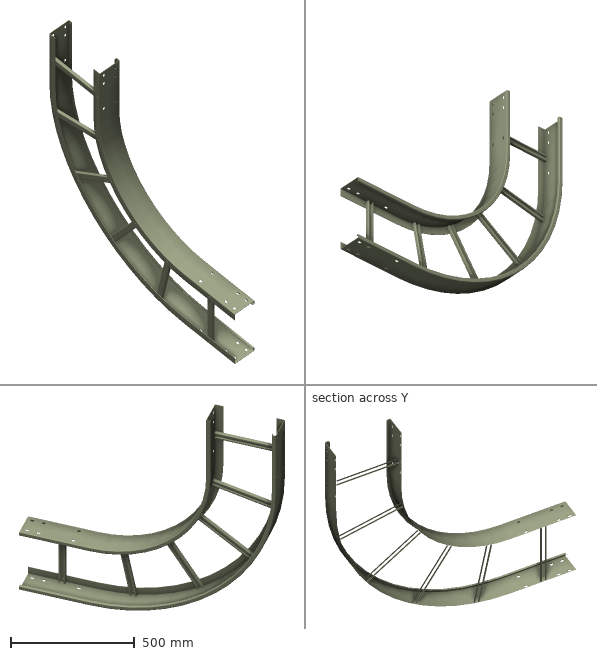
import cadquery as cq
import math

overall_size = 1100.0
rail_depth = 110.0
ladder_width = 300.0
straight_length = 300.0
outer_radius = overall_size - straight_length
inner_radius = outer_radius - ladder_width
bend_center = outer_radius

rail_sheet = 2.0
rail_fold_radius = 3.5
front_flange = 36.0
rear_flange = 19.0
rear_lip = 11.0

slot_length = 14.0
slot_width = 10.0
slot_end_distances = (25.0, 75.0, 225.0)
slot_spacing = 65.0

rung_width = 30.0
rung_depth = 15.0
rung_sheet = 1.5
rung_fold_radius = 3.1
rung_lip = 8.0
rung_end_distance = 150.0
curved_rung_count = 4
end_clearance = 0.2
rung_end_inset = rail_fold_radius + end_clearance

screw_hole_diameter = 5.0
screw_hole_inset = 15.0
outer_hole_radius = outer_radius - screw_hole_inset
inner_hole_radius = inner_radius + screw_hole_inset

curved_rung_step = 90.0 / curved_rung_count
rung_stations = [
    (bend_center, overall_size - rung_end_distance, 0.0),
    *((bend_center, bend_center, (i + 0.5) * curved_rung_step) for i in range(curved_rung_count)),
    (overall_size - rung_end_distance, bend_center, 90.0),
]


def place_at_station(body, station):
    x, z, angle = station
    return body.rotate((0, 0, 0), (0, 1, 0), -angle).translate((x, 0, z))


def folded_outline(plane, corners):
    """Closed outline through right-angled corners (x, y, radius); radius 0 leaves one sharp."""
    outline = plane
    for i, (x, y, radius) in enumerate(corners):
        corner = cq.Vector(x, y)
        before = cq.Vector(*corners[i - 1][:2])
        after = cq.Vector(*corners[(i + 1) % len(corners)][:2])
        to_start = (before - corner).normalized() * radius
        to_end = (after - corner).normalized() * radius
        start = corner + to_start
        middle = corner + (to_start + to_end) * (1 - math.sqrt(0.5))
        end = corner + to_end
        outline = outline.moveTo(start.x, start.y) if i == 0 else outline.lineTo(start.x, start.y)
        if radius > 0:
            outline = outline.threePointArc((middle.x, middle.y), (end.x, end.y))
    return outline.close()


def rail_section(web_radius, flange_direction):
    """Rail section where the upright arm meets the bend; +1 points the flanges along +X."""
    inner_fold = rail_fold_radius - rail_sheet
    lip_end = rail_depth - rear_lip
    lip_inside = rear_flange - rail_sheet
    rear_inside = rail_depth - rail_sheet
    corners = [
        (front_flange, 0, 0),
        (0, 0, rail_fold_radius),
        (0, rail_depth, rail_fold_radius),
        (rear_flange, rail_depth, rail_fold_radius),
        (rear_flange, lip_end, 0),
        (lip_inside, lip_end, 0),
        (lip_inside, rear_inside, inner_fold),
        (rail_sheet, rear_inside, inner_fold),
        (rail_sheet, rail_sheet, inner_fold),
        (front_flange, rail_sheet, 0),
    ]
    plane = cq.Workplane("XY", origin=(bend_center, 0, bend_center))
    return folded_outline(
        plane, [(flange_direction * u - web_radius, y, radius) for u, y, radius in corners]
    )


def web_slots(web_x):
    """Cutters for the slots of the upright arm whose web has its outside at web_x."""
    centers = [
        (rail_depth / 2 + side * slot_spacing / 2, overall_size - distance)
        for distance in slot_end_distances
        for side in (-1, 1)
    ]
    return (
        cq.Workplane("YZ", origin=(web_x, 0, 0))
        .pushPoints(centers)
        .rect(slot_width, slot_length)
        .extrude(2 * rail_sheet, both=True)
    )


def screw_hole(hole_radius):
    """Cutter along Y through the front sheets, at hole_radius from the Y axis towards -X."""
    return (
        cq.Workplane("XZ", origin=(-hole_radius, 0, 0))
        .circle(screw_hole_diameter / 2)
        .extrude(2 * (rail_sheet + rung_sheet), both=True)
    )


def make_rail(web_radius, flange_direction, hole_radius):
    curve = rail_section(web_radius, flange_direction).revolve(90, (0, 0), (0, -1))
    upright = rail_section(web_radius, flange_direction).extrude(straight_length)
    upright = upright.cut(web_slots(bend_center - web_radius))
    level = upright.mirror(cq.Vector(1, 0, -1), (0, 0, 0))
    rail = curve.union(upright).union(level)
    for station in rung_stations:
        rail = rail.cut(place_at_station(screw_hole(hole_radius), station))
    return rail


def make_rung():
    half_width = rung_width / 2
    half_inside = half_width - rung_sheet
    half_opening = half_width - rung_lip
    front = rail_sheet
    rear = front + rung_depth
    front_inside = front + rung_sheet
    rear_inside = rear - rung_sheet
    inner_fold = rung_fold_radius - rung_sheet
    corners = [
        (rear, -half_opening, 0),
        (rear, -half_width, rung_fold_radius),
        (front, -half_width, rung_fold_radius),
        (front, half_width, rung_fold_radius),
        (rear, half_width, rung_fold_radius),
        (rear, half_opening, 0),
        (rear_inside, half_opening, 0),
        (rear_inside, half_inside, inner_fold),
        (front_inside, half_inside, inner_fold),
        (front_inside, -half_inside, inner_fold),
        (rear_inside, -half_inside, inner_fold),
        (rear_inside, -half_opening, 0),
    ]
    plane = cq.Workplane("YZ", origin=(rung_end_inset - outer_radius, 0, 0))
    rung = folded_outline(plane, corners).extrude(ladder_width - 2 * rung_end_inset)
    return rung.cut(screw_hole(outer_hole_radius)).cut(screw_hole(inner_hole_radius))


outer_rail = make_rail(outer_radius, 1, outer_hole_radius)
inner_rail = make_rail(inner_radius, -1, inner_hole_radius)
rungs = [place_at_station(make_rung(), station) for station in rung_stations]

result = cq.Compound.makeCompound(
    [outer_rail.val(), inner_rail.val(), *(rung.val() for rung in rungs)]
)